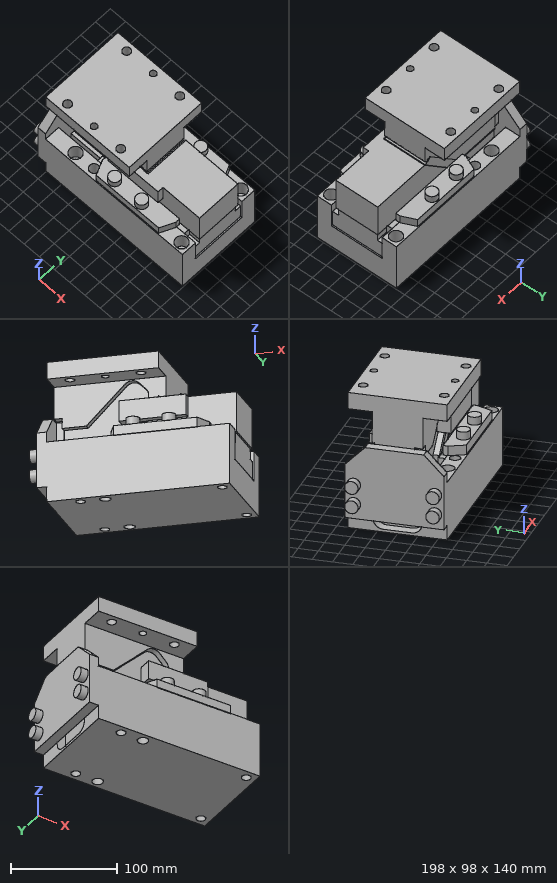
import cadquery as cq

total_length = 198.0
total_height = 140.0
half_width = 49.0

base_front = 18.0
base_top = 60.0
channel_half_width = 31.3
channel_floor = 30.0
pocket_half_width = 24.2
pocket_floor = 3.0
corner_rise = 10.0

plate_front = 8.0
plate_bottom = 15.0
plate_top = 89.9
plate_chamfer = 20.0
key_back = 26.1
key_y_min = -16.8
key_y_max = 22.8

screw_y = 40.0
screw_head_radius = 6.63
plate_screw_heights = (30.0, 50.0)
retainer_screw_places = (100.2, 135.6)
retainer_screw_top = 78.0

retainer_start = 76.2
retainer_end = 173.0
retainer_top = 69.9
retainer_inner_y = 27.1
retainer_outer_y = 48.0
retainer_corner_x = 7.3
retainer_corner_y = 15.8

counterbore_places = (48.7, 188.1)
counterbore_radius = 7.1
counterbore_depth = 19.8
bolt_hole_radius = 4.5
dowel_x = 73.0
base_dowel_radius = 5.3

flange_end = 128.1
flange_bottom = 123.0
driver_half_width = 25.0
neck_half_width = 24.2
driver_bottom = 47.5
notch_top = 91.0
stem_half_width = 22.8
stem_bottom = 4.2
flange_hole_places = (38.2, 108.1)
flange_dowel_radius = 3.5

slot_depth = 6.1
slot_radius = 9.9
slot_mouth_top = 81.0
slot_mouth_end = 71.3

slider_start = 69.3
slider_half_width = 26.0
slider_top = 100.0
slider_foot_end = 196.5
slider_flange_end = 183.3
slider_heel_top = 49.5
wing_start = 84.2
wing_end = 150.0
wing_bottom = 79.5
wing_outer_y = 32.7
rail_depth = 3.2
rail_chamfer = 1.2

slot_upper_face = -31.0
slot_lower_face = 9.9
rail_face = 17.0
cam_face = 25.3
slider_slope = 29.7
slot_start_sum = 128.7
slot_end_sum = 220.5
cam_start_sum = 120.8
cam_end_sum = 225.1


def block(x0, x1, y0, y1, z0, z1):
    return cq.Workplane("XY").box(x1 - x0, y1 - y0, z1 - z0, centered=False).translate((x0, y0, z0))


def side_profile(points, y0, y1):
    """Extrude an XZ outline from y0 to y1."""
    return cq.Workplane("XZ", origin=(0, y1, 0)).polyline(points).close().extrude(y1 - y0)


def inclined_bar(upper_face, lower_face, start_sum, end_sum, y0, y1):
    """Bar along the 45 degree cam direction, bounded by x - z and x + z values."""
    corners = [
        (upper_face, start_sum),
        (lower_face, start_sum),
        (lower_face, end_sum),
        (upper_face, end_sum),
    ]
    points = [((s + d) / 2, (s - d) / 2) for d, s in corners]
    return side_profile(points, y0, y1)


def upper_end_of_bar():
    return cq.selectors.DirectionMinMaxSelector(cq.Vector(1, 0, 1), True)


def vertical_rod(x, y, radius, z0, z1):
    return cq.Workplane("XY", origin=(x, y, z0)).circle(radius).extrude(z1 - z0)


def rounded_trough(x0, x1, trough_half_width, z0, z1):
    """Bar along X with its two bottom edges rounded."""
    trough = block(x0, x1, -trough_half_width, trough_half_width, z0, z1)
    return trough.edges("|X and <Z").fillet(corner_rise)


def end_plate():
    plate = (
        cq.Workplane("YZ", origin=(plate_front, 0, 0))
        .moveTo(-half_width, plate_bottom)
        .lineTo(half_width, plate_bottom)
        .lineTo(half_width, plate_top - plate_chamfer)
        .lineTo(half_width - plate_chamfer, plate_top)
        .lineTo(plate_chamfer - half_width, plate_top)
        .lineTo(-half_width, plate_top - plate_chamfer)
        .close()
        .extrude(base_front - plate_front)
    )
    plate = plate.union(block(base_front, key_back, key_y_min, key_y_max, base_top, plate_top))
    heads = (
        cq.Workplane("YZ")
        .pushPoints([(y, z) for y in (-screw_y, screw_y) for z in plate_screw_heights])
        .circle(screw_head_radius)
        .extrude(plate_front)
    )
    return plate.union(heads)


def retainer():
    """Clamping bar with its screws on the -Y side."""
    tip_y = retainer_outer_y - retainer_corner_y
    bar = (
        cq.Workplane("XY", origin=(0, 0, base_top))
        .moveTo(retainer_start, -retainer_inner_y)
        .lineTo(retainer_end, -retainer_inner_y)
        .lineTo(retainer_end, -tip_y)
        .lineTo(retainer_end - retainer_corner_x, -retainer_outer_y)
        .lineTo(retainer_start + retainer_corner_x, -retainer_outer_y)
        .lineTo(retainer_start, -tip_y)
        .close()
        .extrude(retainer_top - base_top)
    )
    for x in retainer_screw_places:
        bar = bar.union(vertical_rod(x, -screw_y, screw_head_radius, retainer_top, retainer_screw_top))
    return bar


def make_base():
    base = block(base_front, total_length, -half_width, half_width, 0, base_top)
    base = base.cut(
        block(base_front, total_length, -channel_half_width, channel_half_width, channel_floor, base_top)
    )
    base = base.cut(rounded_trough(base_front, slider_start, pocket_half_width, pocket_floor, channel_floor))
    for y in (-screw_y, screw_y):
        for x in counterbore_places:
            base = base.cut(vertical_rod(x, y, bolt_hole_radius, 0, base_top))
            base = base.cut(vertical_rod(x, y, counterbore_radius, base_top - counterbore_depth, base_top))
        base = base.cut(vertical_rod(dowel_x, y, base_dowel_radius, 0, base_top))
    return base.union(end_plate()).union(retainer()).union(retainer().mirror("XZ"))


def slot_run():
    """Inclined run of the cam slot, rounded at its closed upper end."""
    run = inclined_bar(
        slot_upper_face, slot_lower_face, slot_start_sum, slot_end_sum,
        -driver_half_width, slot_depth - driver_half_width,
    )
    return run.faces(upper_end_of_bar()).edges("|Y").fillet(slot_radius)


def cam_rail():
    """Inclined guide rail of the slider on the -Y side."""
    return inclined_bar(
        rail_face, cam_face, cam_start_sum, cam_end_sum,
        -driver_half_width, rail_depth - driver_half_width,
    )


def make_driver():
    body = side_profile(
        [
            (base_front, flange_bottom),
            (base_front, plate_top),
            (key_back, plate_top),
            (key_back, driver_bottom),
            (driver_bottom + cam_face, driver_bottom),
            (flange_end, flange_end - cam_face),
            (flange_end, flange_bottom),
        ],
        -driver_half_width,
        driver_half_width,
    )
    for y0, y1 in ((-driver_half_width, key_y_min), (key_y_max, driver_half_width)):
        body = body.cut(block(base_front, key_back, y0, y1, plate_top, notch_top))
    for y0, y1 in ((-driver_half_width, -neck_half_width), (neck_half_width, driver_half_width)):
        body = body.cut(block(key_back, flange_end, y0, y1, driver_bottom, base_top))
    slot_mouth = block(
        key_back, slot_mouth_end,
        -driver_half_width, slot_depth - driver_half_width,
        driver_bottom, slot_mouth_top,
    )
    body = body.cut(slot_mouth).cut(slot_run())
    body = body.cut(cam_rail()).cut(cam_rail().mirror("XZ"))

    flange = block(base_front, flange_end, -half_width, half_width, flange_bottom, total_height)
    for y in (-screw_y, screw_y):
        for x in flange_hole_places:
            flange = flange.cut(vertical_rod(x, y, bolt_hole_radius, flange_bottom, total_height))
        flange = flange.cut(vertical_rod(dowel_x, y, flange_dowel_radius, flange_bottom, total_height))

    stem = rounded_trough(key_back, slider_start, stem_half_width, stem_bottom, driver_bottom)
    return body.union(flange).union(stem)


def wing():
    """Side wing whose inner pad follows the cam slot of the driver."""
    outer = block(wing_start, wing_end, -wing_outer_y, -driver_half_width, wing_bottom, slider_top)
    pad = block(
        wing_start, wing_end,
        -driver_half_width, slot_depth - driver_half_width,
        wing_bottom, slider_top,
    )
    return outer.union(pad.intersect(slot_run()))


def make_slider():
    slider = side_profile(
        [
            (base_top + slider_slope, base_top),
            (slider_top + slider_slope, slider_top),
            (total_length, slider_top),
            (total_length, base_top),
        ],
        -slider_half_width,
        slider_half_width,
    )
    neck = side_profile(
        [
            (slider_start, channel_floor),
            (slider_start, driver_bottom),
            (driver_bottom + slider_slope, driver_bottom),
            (base_top + slider_slope, base_top),
            (slider_foot_end, base_top),
            (slider_foot_end, channel_floor),
        ],
        -neck_half_width,
        neck_half_width,
    )
    slider = slider.union(neck)
    flanges = side_profile(
        [
            (slider_start, channel_floor),
            (slider_start, base_top),
            (slider_flange_end, base_top),
            (slider_flange_end, slider_heel_top),
            (slider_foot_end, slider_heel_top),
            (slider_foot_end, channel_floor),
        ],
        neck_half_width,
        channel_half_width,
    )
    slider = slider.union(flanges).union(flanges.mirror("XZ"))

    wear_plate = inclined_bar(
        cam_face, slider_slope, cam_start_sum, cam_end_sum, -driver_half_width, driver_half_width
    )
    rail = cam_rail().faces(upper_end_of_bar()).edges("<Y").chamfer(rail_chamfer)
    slider = slider.union(wear_plate).union(rail).union(rail.mirror("XZ"))
    return slider.union(wing())


base = make_base()
driver = make_driver()
slider = make_slider()

result = cq.Compound.makeCompound([body.solids().val() for body in (base, driver, slider)])